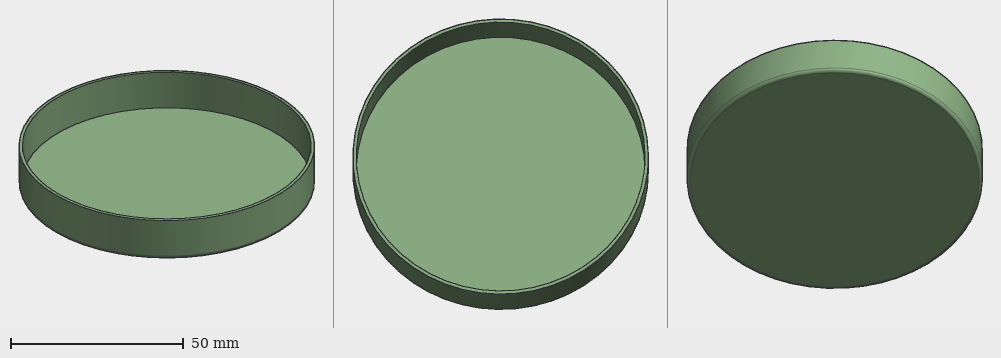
import cadquery as cq

outer_diameter = 85.6
inner_diameter = 83.6
height = 13.0
floor_thickness = 1.0
bottom_edge_radius = floor_thickness

body = cq.Workplane("XY").circle(outer_diameter / 2).extrude(height)
body = body.faces("<Z").edges().fillet(bottom_edge_radius)

recess = (
    cq.Workplane("XY")
    .workplane(offset=floor_thickness)
    .circle(inner_diameter / 2)
    .extrude(height - floor_thickness)
)

result = body.cut(recess)